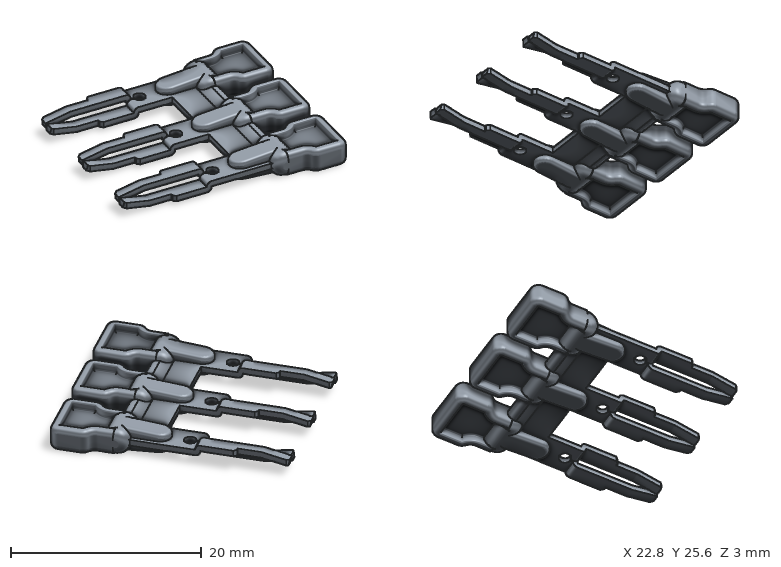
import cadquery as cq
import math

LENGTH = 25.63
PITCH = 8.07
POLE_POSITIONS = [-PITCH, 0.0, PITCH]
CLEARANCE = 0.25

METAL_THICKNESS = 0.7
METAL_HALF = METAL_THICKNESS / 2
PRONG_HALF_WIDTH = 1.75
TIP_HALF_WIDTH = 1.18
SPINE_FRONT_Y = 14.1
SLIT_WIDTH = 0.15
EYE_RADIUS = 0.67
EYE_Y = 11.12
JOGGLE_Y = 10.12
JOGGLE_OFFSET = 0.6
PRONG_STEP_Y = 5.61
PLAN_CHAMFER = 0.3
PINCH_Y = 3.02
PINCH_ANGLE = math.radians(10.7)

GRIP_HALF_WIDTH = 3.33
NECK_HALF_WIDTH = 5.0 / 2
GRIP_HALF_HEIGHT = 2.85 / 2
GRIP_CORNER_RADIUS = 1.0
GRIP_EDGE_RADIUS = 0.7
WAIST_TOP_Y = 22.17
WAIST_BOTTOM_Y = 20.5
BLANK_FRONT_Y = 15.38
WAIST_DROP = WAIST_TOP_Y - WAIST_BOTTOM_Y
WAIST_TURN = 2 * math.atan((GRIP_HALF_WIDTH - NECK_HALF_WIDTH) / WAIST_DROP)
WAIST_RADIUS = WAIST_DROP / math.sin(WAIST_TURN) - GRIP_CORNER_RADIUS

POCKET_FLOOR_Z = 0.44
POCKET_ROUNDING = 0.23
RIM_LAND = 0.013
POCKET_INSET = GRIP_EDGE_RADIUS + RIM_LAND + POCKET_ROUNDING
POCKET_NECK_HALF_WIDTH = NECK_HALF_WIDTH - POCKET_INSET
SWEEP_START_Y = 20.05

SHOULDER_Y = 18.65
SHOULDER_RADIUS = 3.0 / 2
SHOULDER_END_RADIUS = 1.05
COLLAR_LENGTH = 0.18
COLLAR_BACK_Y = SHOULDER_Y + COLLAR_LENGTH
SHOULDER_FRONT_Y = SHOULDER_Y - SHOULDER_RADIUS

TONGUE_HALF_WIDTH = 1.25
TONGUE_FRONT_Y = 13.15
TONGUE_BACK_HALF_HEIGHT = SHOULDER_RADIUS
TONGUE_FRONT_HALF_HEIGHT = 1.1
TONGUE_EDGE_RADIUS = 0.49

RAIL_HALF_HEIGHT = 0.75
RAIL_FLAT_FRONT_Y = 18.38


def make_prong_plan():
    """Flat outline of one prong, centred on X = 0, from its tip to the joggle."""
    right_side = [
        (TIP_HALF_WIDTH - PLAN_CHAMFER, 0),
        (TIP_HALF_WIDTH, PLAN_CHAMFER),
        (TIP_HALF_WIDTH, PRONG_STEP_Y),
        (PRONG_HALF_WIDTH - PLAN_CHAMFER, PRONG_STEP_Y),
        (PRONG_HALF_WIDTH, PRONG_STEP_Y + PLAN_CHAMFER),
        (PRONG_HALF_WIDTH, JOGGLE_Y),
    ]
    left_side = [(-x, y) for x, y in reversed(right_side)]
    half_height = METAL_HALF + JOGGLE_OFFSET
    return cq.Workplane("XY").polyline(right_side + left_side).close().extrude(half_height, both=True)


def make_arm_strip():
    """Bent strip that fills the left half of a prong and passes above the mid-plane."""
    outer_z = METAL_HALF + JOGGLE_OFFSET
    inner_z = outer_z - METAL_THICKNESS
    bend_end_y = JOGGLE_Y - JOGGLE_OFFSET
    bend_mid = JOGGLE_OFFSET * math.sqrt(0.5)
    tip_outer_z = outer_z - PINCH_Y * math.tan(PINCH_ANGLE)
    tip_inner_y = METAL_THICKNESS * math.sin(PINCH_ANGLE)
    tip_inner_z = tip_outer_z - METAL_THICKNESS * math.cos(PINCH_ANGLE)
    inner_pinch_y = PINCH_Y + METAL_THICKNESS * math.tan(PINCH_ANGLE / 2)
    return (
        cq.Workplane("YZ")
        .moveTo(JOGGLE_Y, METAL_HALF)
        .threePointArc((bend_end_y + bend_mid, METAL_HALF + bend_mid), (bend_end_y, outer_z))
        .lineTo(PINCH_Y, outer_z)
        .lineTo(0, tip_outer_z)
        .lineTo(tip_inner_y, tip_inner_z)
        .lineTo(inner_pinch_y, inner_z)
        .lineTo(bend_end_y, inner_z)
        .threePointArc((JOGGLE_Y - bend_mid, inner_z - bend_mid), (JOGGLE_Y, -METAL_HALF))
        .close()
        .extrude(-PRONG_HALF_WIDTH)
    )


def make_comb():
    """Flat spine with three forked prongs."""
    outer_x = PITCH + PRONG_HALF_WIDTH
    comb = (
        cq.Workplane("XY")
        .box(2 * outer_x, SHOULDER_Y - SPINE_FRONT_Y, METAL_THICKNESS, centered=(True, False, True))
        .translate((0, SPINE_FRONT_Y, 0))
    )
    upper_arm = make_arm_strip()
    lower_arm = upper_arm.rotate((0, 0, 0), (0, 1, 0), 180)
    root = (
        cq.Workplane("XY")
        .box(2 * PRONG_HALF_WIDTH, SPINE_FRONT_Y - JOGGLE_Y, METAL_THICKNESS, centered=(True, False, True))
        .translate((0, JOGGLE_Y, 0))
    )
    plan = make_prong_plan()
    slit = cq.Workplane("XY").box(SLIT_WIDTH, 2 * EYE_Y, LENGTH)
    eye = cq.Workplane("XY").center(0, EYE_Y).circle(EYE_RADIUS).extrude(METAL_THICKNESS, both=True)
    for x in POLE_POSITIONS:
        for piece in (root, upper_arm.intersect(plan), lower_arm.intersect(plan)):
            comb = comb.union(piece.cut(slit).cut(eye).translate((x, 0, 0)))
    return comb


def trace_grip_outline(inset, front_y, sharp=False):
    """Sketch of the handle and its neck, moved inwards by inset and ending square at front_y.

    Each side narrows through an S-curve: a convex arc, then a concave arc tangent to it. With sharp corners
    the convex arc is left out, and the concave arc meets the straight side in a corner.
    """
    side_x = GRIP_HALF_WIDTH - inset
    neck_x = NECK_HALF_WIDTH - inset
    back_y = LENGTH - inset
    corner_radius = GRIP_CORNER_RADIUS - inset
    concave_radius = WAIST_RADIUS + inset
    convex_x = GRIP_HALF_WIDTH - GRIP_CORNER_RADIUS
    concave_x = NECK_HALF_WIDTH + WAIST_RADIUS

    def on_convex(angle):
        return convex_x + corner_radius * math.cos(angle), WAIST_TOP_Y - corner_radius * math.sin(angle)

    def on_concave(angle):
        return concave_x - concave_radius * math.cos(angle), WAIST_BOTTOM_Y + concave_radius * math.sin(angle)

    sketch = cq.Workplane("XY").moveTo(0, back_y)
    if sharp:
        meeting_angle = math.acos((concave_x - side_x) / concave_radius)
        sketch = sketch.lineTo(side_x, back_y).lineTo(*on_concave(meeting_angle))
    else:
        meeting_angle = WAIST_TURN
        sketch = (
            sketch.lineTo(convex_x, back_y)
            .radiusArc((side_x, back_y - corner_radius), corner_radius)
            .lineTo(side_x, WAIST_TOP_Y)
            .threePointArc(on_convex(meeting_angle / 2), on_convex(meeting_angle))
        )
    return (
        sketch.threePointArc(on_concave(meeting_angle / 2), on_concave(0))
        .lineTo(neck_x, front_y)
        .lineTo(0, front_y)
        .mirrorY()
    )


def make_pocket_tool():
    """Cutter for the upper pocket, with straight walls and a rounded floor edge."""
    front_y = BLANK_FRONT_Y + POCKET_INSET
    depth = GRIP_HALF_HEIGHT - POCKET_FLOOR_Z + CLEARANCE
    walls = trace_grip_outline(POCKET_INSET, front_y).extrude(depth)
    walls = walls.edges("|Z").edges("<Y").fillet(POCKET_ROUNDING)
    floor = trace_grip_outline(POCKET_INSET, front_y, sharp=True).extrude(depth)
    floor = floor.faces("<Z").edges().fillet(POCKET_ROUNDING)
    return walls.intersect(floor).translate((0, 0, POCKET_FLOOR_Z))


def make_handle():
    """Rounded handle and neck with a pocket on both faces, cut off square at the collar."""
    handle = trace_grip_outline(0, BLANK_FRONT_Y).extrude(GRIP_HALF_HEIGHT, both=True)
    handle = handle.faces("|Z").edges().fillet(GRIP_EDGE_RADIUS)
    upper_pocket = make_pocket_tool()
    handle = handle.cut(upper_pocket).cut(upper_pocket.mirror("XY"))
    rim_edges = [
        edge
        for side in (">Z", "<Z")
        for rim in handle.faces(side).val().innerWires()
        for edge in rim.Edges()
    ]
    handle = handle.newObject(rim_edges).fillet(POCKET_ROUNDING)
    waste = cq.Workplane("XY").box(LENGTH, 2 * COLLAR_BACK_Y, LENGTH)
    return handle.cut(waste)


def make_pocket_ramp():
    """Rising end of the upper pocket floor, a concave arc from the floor to the top of the shoulder."""
    run = SWEEP_START_Y - SHOULDER_Y
    rise = SHOULDER_RADIUS - POCKET_FLOOR_Z
    sweep_radius = (run**2 + rise**2) / (2 * rise)
    return (
        cq.Workplane("YZ")
        .moveTo(SHOULDER_Y, 0)
        .lineTo(SWEEP_START_Y, 0)
        .lineTo(SWEEP_START_Y, POCKET_FLOOR_Z)
        .radiusArc((SHOULDER_Y, SHOULDER_RADIUS), -sweep_radius)
        .close()
        .extrude(POCKET_NECK_HALF_WIDTH, both=True)
    )


def make_shoulder():
    """Front half of a barrel lying along X with rounded ends."""
    profile = (
        cq.Workplane("XY")
        .moveTo(-NECK_HALF_WIDTH, SHOULDER_Y)
        .lineTo(NECK_HALF_WIDTH, SHOULDER_Y)
        .lineTo(NECK_HALF_WIDTH, SHOULDER_FRONT_Y + SHOULDER_END_RADIUS)
        .radiusArc((NECK_HALF_WIDTH - SHOULDER_END_RADIUS, SHOULDER_FRONT_Y), SHOULDER_END_RADIUS)
        .lineTo(-NECK_HALF_WIDTH + SHOULDER_END_RADIUS, SHOULDER_FRONT_Y)
        .radiusArc((-NECK_HALF_WIDTH, SHOULDER_FRONT_Y + SHOULDER_END_RADIUS), SHOULDER_END_RADIUS)
        .close()
    )
    barrel = profile.revolve(360, (0, SHOULDER_Y, 0), (1, SHOULDER_Y, 0))
    back_half = cq.Workplane("XY").box(LENGTH, LENGTH, LENGTH).translate((0, SHOULDER_Y + LENGTH / 2, 0))
    return barrel.cut(back_half)


def make_collar(ramps):
    """Short stretch with the shoulder's section, joining it to the neck; the ramps run through it."""
    collar = (
        cq.Workplane("XZ", origin=(0, COLLAR_BACK_Y, 0))
        .rect(2 * NECK_HALF_WIDTH, 2 * SHOULDER_RADIUS)
        .extrude(COLLAR_LENGTH)
        .edges("|Y")
        .fillet(SHOULDER_END_RADIUS)
    )
    gap = (
        cq.Workplane("XZ", origin=(0, COLLAR_BACK_Y, 0))
        .rect(2 * POCKET_NECK_HALF_WIDTH, 2 * (SHOULDER_RADIUS + CLEARANCE))
        .extrude(COLLAR_LENGTH)
    )
    return collar.cut(gap).union(ramps)


def make_tongue():
    """Round-ended finger on both faces of the prong, thinning towards its front."""
    centre_y = TONGUE_FRONT_Y + TONGUE_HALF_WIDTH
    plan = (
        cq.Workplane("XY")
        .moveTo(-TONGUE_HALF_WIDTH, SHOULDER_Y)
        .lineTo(-TONGUE_HALF_WIDTH, centre_y)
        .threePointArc((0, TONGUE_FRONT_Y), (TONGUE_HALF_WIDTH, centre_y))
        .lineTo(TONGUE_HALF_WIDTH, SHOULDER_Y)
        .close()
        .extrude(TONGUE_BACK_HALF_HEIGHT, both=True)
    )
    taper = (
        cq.Workplane("YZ")
        .polyline([
            (TONGUE_FRONT_Y, -TONGUE_FRONT_HALF_HEIGHT),
            (TONGUE_FRONT_Y, TONGUE_FRONT_HALF_HEIGHT),
            (SHOULDER_Y, TONGUE_BACK_HALF_HEIGHT),
            (SHOULDER_Y, -TONGUE_BACK_HALF_HEIGHT),
        ])
        .close()
        .extrude(TONGUE_HALF_WIDTH, both=True)
    )
    tongue = plan.intersect(taper)
    return tongue.faces(">Z or <Z").edges("not(>Y)").fillet(TONGUE_EDGE_RADIUS)


def make_rail():
    """Bar between the outer grips, half-round at its back and tapering down to the metal at its front."""
    return (
        cq.Workplane("YZ")
        .moveTo(SHOULDER_FRONT_Y, -METAL_HALF)
        .lineTo(SHOULDER_FRONT_Y, METAL_HALF)
        .lineTo(RAIL_FLAT_FRONT_Y, RAIL_HALF_HEIGHT)
        .lineTo(SHOULDER_Y, RAIL_HALF_HEIGHT)
        .threePointArc((SHOULDER_Y + RAIL_HALF_HEIGHT, 0), (SHOULDER_Y, -RAIL_HALF_HEIGHT))
        .lineTo(RAIL_FLAT_FRONT_Y, -RAIL_HALF_HEIGHT)
        .close()
        .extrude(PITCH, both=True)
    )


def make_cover(comb):
    """Plastic body: three grips on the rail, moulded around the comb."""
    upper_ramp = make_pocket_ramp()
    ramps = upper_ramp.union(upper_ramp.mirror("XY"))
    grip = make_handle().union(make_collar(ramps)).union(make_shoulder()).union(make_tongue())
    cover = make_rail()
    for x in POLE_POSITIONS:
        cover = cover.union(grip.translate((x, 0, 0)))
    return cover.cut(comb)


comb = make_comb()
cover = make_cover(comb)
result = cq.Compound.makeCompound([comb.val(), cover.val()])